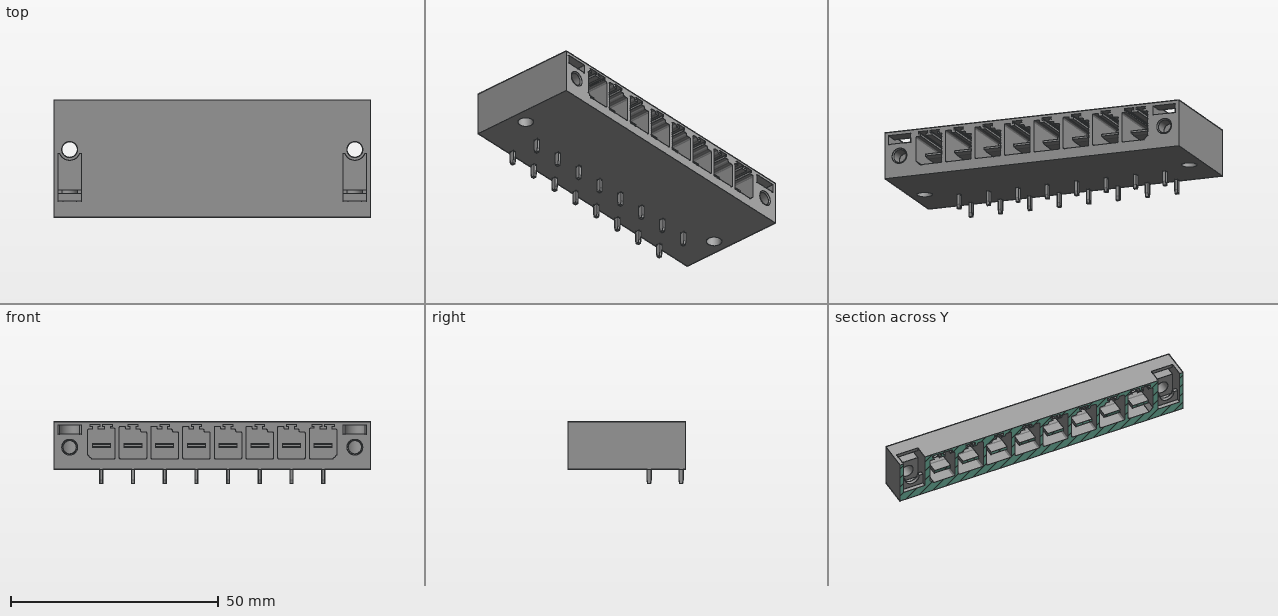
import cadquery as cq

LENGTH = 76.2
DEPTH = 28.3
HEIGHT = 11.5

POLES = 8
PITCH = 7.6
CAVITY_WIDTH = PITCH - 1.0
CAVITY_DEPTH = 15.25
CAVITY_FLOOR = 2.5
CAVITY_RADIUS = 0.3
ROOF = 9.7
ROOF_STEP = 0.7
ROOF_MIDDLE_WIDTH = 3.65
END_ROOF_RISE = 0.2
END_CHAMFER = 1.0

KEY_NECK_WIDTH = 1.4
KEY_HEAD_WIDTH = 2.4
KEY_HEAD_BOTTOM = 10.3
KEY_HEAD_TOP = 10.8
END_KEY_SPACING = 3.0

POCKET_X = 34.3
POCKET_WIDTH = 5.7
POCKET_FRONT = 3.9
POCKET_BACK = 15.4
POCKET_FLOOR = CAVITY_FLOOR
WINDOW_BOTTOM = 8.45
WINDOW_TOP = 10.7

MOUNT_Y = 16.3
MOUNT_DIAMETER = 3.7
BOSS_DIAMETER = 5.2

SCREW_Z = 5.3
SCREW_DIAMETER = 3.2
SCREW_CHAMFER = 0.3
CRADLE_DIAMETER = 3.7
CRADLE_FRONT = 5.7
CRADLE_THICKNESS = 0.9

BLADE_WIDTH = 4.35
BLADE_THICKNESS = 0.9
BLADE_TIP_Y = 3.05
BLADE_TAPER = 0.2
BLADE_TAPER_LENGTH = 1.9
BLADE_Z = HEIGHT / 2
LEG_WIDTH = 0.8
LEG_DEPTH = 1.1
LEG_PROTRUSION = 3.4
LEG_YS = (19.5, 27.2)
LEG_TIP_HEIGHT = 0.9
LEG_TIP_TAPER = 0.15
BLADE_END_Y = LEG_YS[-1] + LEG_DEPTH / 2


def block(x_range, y_range, z_range):
    """Box spanning the given (low, high) ranges."""
    size = [high - low for low, high in (x_range, y_range, z_range)]
    return cq.Workplane("XY").box(*size, centered=False).translate((x_range[0], y_range[0], z_range[0]))


def centred(x, width):
    """Range of the given width about x."""
    return (x - width / 2, x + width / 2)


def front_prism(points, depth):
    """Prism with an X-Z outline, running back from the mating face."""
    return cq.Workplane("XZ").polyline(points).close().extrude(-depth)


def side_prism(x, points, width):
    """Prism with a Y-Z outline and the given width about x."""
    return cq.Workplane("YZ", origin=(x, 0, 0)).polyline(points).close().extrude(width / 2, both=True)


def front_cylinder(x, diameter, start_y, length):
    """Cylinder along +Y at screw height."""
    return cq.Workplane("XZ", origin=(x, start_y, SCREW_Z)).circle(diameter / 2).extrude(-length)


def key_slot(x):
    """T-shaped slot that opens into the cavity roof."""
    run = (0, CAVITY_DEPTH)
    neck = block(centred(x, KEY_NECK_WIDTH), run, (ROOF - ROOF_STEP, KEY_HEAD_TOP))
    head = block(centred(x, KEY_HEAD_WIDTH), run, (KEY_HEAD_BOTTOM, KEY_HEAD_TOP))
    return neck.union(head)


def inner_cavity():
    """Cavity with a roof stepped down from left to right and one key slot, centred on X = 0."""
    side = CAVITY_WIDTH / 2
    step = ROOF_MIDDLE_WIDTH / 2
    outline = [
        (-side, CAVITY_FLOOR),
        (-side, ROOF + ROOF_STEP),
        (-step, ROOF + ROOF_STEP),
        (-step, ROOF),
        (step, ROOF),
        (step, ROOF - ROOF_STEP),
        (side, ROOF - ROOF_STEP),
        (side, CAVITY_FLOOR),
    ]
    cavity = front_prism(outline, CAVITY_DEPTH).edges("|Y").fillet(CAVITY_RADIUS)
    return cavity.union(key_slot(0))


def left_end_cavity():
    """Cavity with a chamfered outward corner and two key slots, centred on X = 0."""
    side = CAVITY_WIDTH / 2
    key_x = END_KEY_SPACING / 2
    cavity = block((-side, side), (0, CAVITY_DEPTH), (CAVITY_FLOOR, ROOF)).edges("|Y").fillet(CAVITY_RADIUS)
    raised_roof = block((key_x, side), (0, CAVITY_DEPTH), (ROOF - ROOF_STEP, ROOF + END_ROOF_RISE))
    corner = [
        (-side, CAVITY_FLOOR),
        (-side, CAVITY_FLOOR + END_CHAMFER),
        (-side + END_CHAMFER, CAVITY_FLOOR),
    ]
    cavity = cavity.union(raised_roof.edges("|Y and >X and >Z").fillet(CAVITY_RADIUS))
    cavity = cavity.cut(front_prism(corner, CAVITY_DEPTH))
    return cavity.union(key_slot(-key_x)).union(key_slot(key_x))


def fastening_pocket(x):
    """Everything removed at one end: pocket, window, mounting hole and screw hole."""
    width = centred(x, POCKET_WIDTH)
    boss = cq.Workplane("XY").center(x, MOUNT_Y).circle(BOSS_DIAMETER / 2).extrude(HEIGHT)
    mount_hole = cq.Workplane("XY").center(x, MOUNT_Y).circle(MOUNT_DIAMETER / 2).extrude(HEIGHT)

    cradle_range = (CRADLE_FRONT, CRADLE_FRONT + CRADLE_THICKNESS)
    cradle = block(width, cradle_range, (POCKET_FLOOR, SCREW_Z))
    cradle = cradle.cut(front_cylinder(x, CRADLE_DIAMETER, CRADLE_FRONT, CRADLE_THICKNESS))

    pocket = block(width, (POCKET_FRONT, POCKET_BACK), (POCKET_FLOOR, HEIGHT)).cut(boss).cut(cradle)
    window = block(width, (0, POCKET_FRONT), (WINDOW_BOTTOM, WINDOW_TOP))

    screw_hole = front_cylinder(x, SCREW_DIAMETER, 0, POCKET_FRONT)
    mouth_radius = SCREW_DIAMETER / 2 + SCREW_CHAMFER
    mouth = cq.Workplane(
        cq.Solid.makeCone(
            mouth_radius, SCREW_DIAMETER / 2, SCREW_CHAMFER, cq.Vector(x, 0, SCREW_Z), cq.Vector(0, 1, 0)
        )
    )
    return pocket.union(window).union(mount_hole).union(screw_hole).union(mouth)


def contact(x):
    """Blade and two tapered solder legs in one piece."""
    top = BLADE_Z + BLADE_THICKNESS / 2
    bottom = BLADE_Z - BLADE_THICKNESS / 2
    taper_end = BLADE_TIP_Y + BLADE_TAPER_LENGTH
    blade_outline = [
        (BLADE_TIP_Y, bottom + BLADE_TAPER),
        (BLADE_TIP_Y, top - BLADE_TAPER),
        (taper_end, top),
        (BLADE_END_Y, top),
        (BLADE_END_Y, bottom),
        (taper_end, bottom),
    ]
    piece = side_prism(x, blade_outline, BLADE_WIDTH)
    half = LEG_DEPTH / 2
    for y in LEG_YS:
        leg_outline = [
            (y - half, BLADE_Z),
            (y - half, LEG_TIP_HEIGHT - LEG_PROTRUSION),
            (y - half + LEG_TIP_TAPER, -LEG_PROTRUSION),
            (y + half - LEG_TIP_TAPER, -LEG_PROTRUSION),
            (y + half, LEG_TIP_HEIGHT - LEG_PROTRUSION),
            (y + half, BLADE_Z),
        ]
        piece = piece.union(side_prism(x, leg_outline, LEG_WIDTH))
    return piece


def build_housing(pole_xs, contacts):
    """Housing block with all cavities, end pockets and seats for the contacts."""
    housing = block(centred(0, LENGTH), (0, DEPTH), (0, HEIGHT))
    left_end = left_end_cavity()
    housing = housing.cut(left_end.translate((pole_xs[0], 0, 0)))
    housing = housing.cut(left_end.mirror("YZ").translate((pole_xs[-1], 0, 0)))
    inner = inner_cavity()
    for x in pole_xs[1:-1]:
        housing = housing.cut(inner.translate((x, 0, 0)))
    for x in (-POCKET_X, POCKET_X):
        housing = housing.cut(fastening_pocket(x))
    for seated in contacts:
        housing = housing.cut(seated)
    return housing


pole_positions = [(i - (POLES - 1) / 2) * PITCH for i in range(POLES)]
contacts = [contact(x) for x in pole_positions]
housing = build_housing(pole_positions, contacts)

result = cq.Compound.makeCompound([housing.val(), *[piece.val() for piece in contacts]])